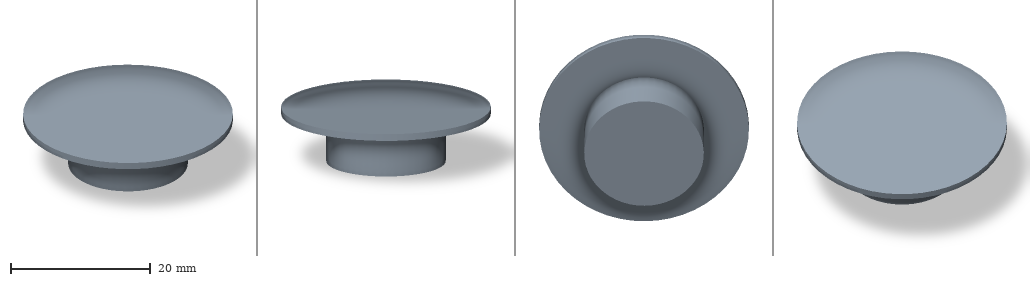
import cadquery as cq

flange_diameter = 30.0
stem_diameter = 17.1
total_height = 8.0
flange_thickness = 1.0
stem_height = total_height - flange_thickness

stem = cq.Workplane("XY").circle(stem_diameter / 2).extrude(stem_height)

flange = (
    cq.Workplane("XY")
    .workplane(offset=stem_height)
    .circle(flange_diameter / 2)
    .extrude(flange_thickness)
)

result = stem.union(flange)